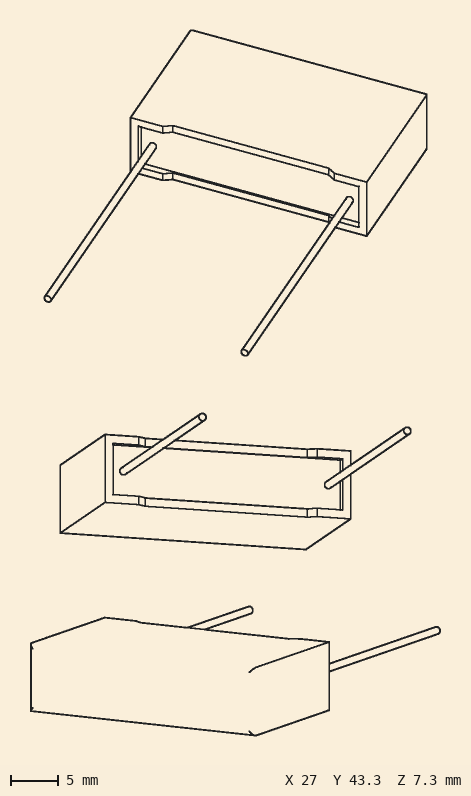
import cadquery as cq


case_width = 27.0
case_height = 7.3
case_length = 16.3
wall = 0.9
back_edge_radius = 0.6

notch_mouth_width = 19.6
notch_floor_width = 17.8
notch_depth = 0.55

resin_recess = 0.75

lead_diameter = 0.8
lead_spacing = 22.5
lead_reach = 27.0

cavity_width = case_width - 2 * wall
cavity_height = case_height - 2 * wall
cavity_length = case_length - wall


def block(width, height, y_start, y_end):
    """Box centred on the Y axis, from y_start to y_end."""
    base = cq.Workplane("XY", origin=(0, y_start, 0))
    return base.box(width, y_end - y_start, height, centered=(True, False, True))


def make_notch():
    """Trapezoidal cutter across the full case height, widest at the rim."""
    return (
        cq.Workplane("XY")
        .polyline(
            [
                (-notch_mouth_width / 2, 0),
                (-notch_floor_width / 2, notch_depth),
                (notch_floor_width / 2, notch_depth),
                (notch_mouth_width / 2, 0),
            ]
        )
        .close()
        .extrude(case_height / 2, both=True)
    )


def make_case():
    """Open box with rounded back edges and notched rim."""
    body = block(case_width, case_height, 0, case_length)
    rounded_body = body.faces(">Y").edges().fillet(back_edge_radius)
    cavity = block(cavity_width, cavity_height, 0, cavity_length)
    return rounded_body.cut(cavity).cut(make_notch())


def make_resin():
    """Potting that fills the cavity up to slightly below the rim."""
    return block(cavity_width, cavity_height, resin_recess, cavity_length)


def make_lead(x):
    """Straight round wire that starts on the resin face."""
    return (
        cq.Workplane("XZ", origin=(x, resin_recess, 0))
        .circle(lead_diameter / 2)
        .extrude(resin_recess + lead_reach)
    )


case = make_case()
resin = make_resin()
leads = [make_lead(side * lead_spacing / 2) for side in (-1, 1)]

result = cq.Compound.makeCompound([case.val(), resin.val(), *[lead.val() for lead in leads]])